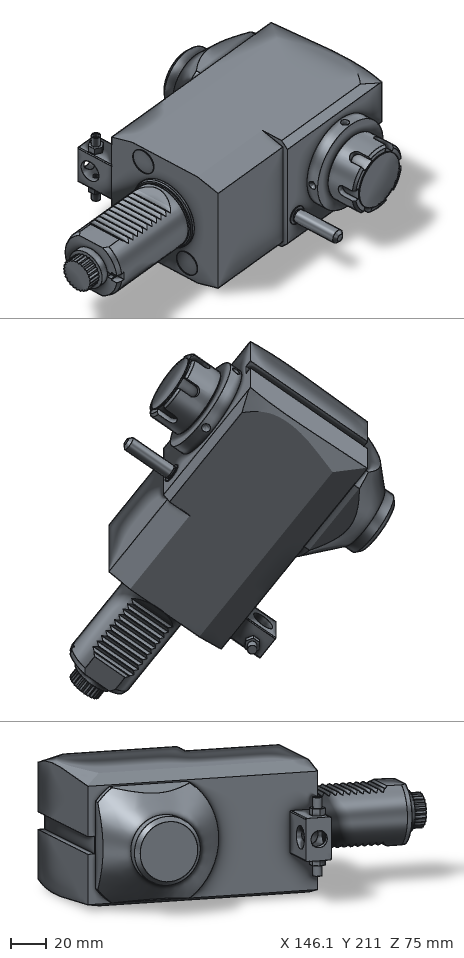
import cadquery as cq
import math


BODY_LENGTH = 136.0
BODY_HEIGHT = 75.0
BODY_HALF = BODY_HEIGHT / 2
BODY_LEFT = -39.0
LOWER_RIGHT = 39.0
UPPER_RIGHT = 42.3
STEP_Y = 55.3
SIDE_BEVEL_WIDTH = 15.0
SIDE_BEVEL_DROP = SIDE_BEVEL_WIDTH * math.tan(math.radians(15))
UPPER_BEVEL = 4.2
CROWN_SLOPE = math.tan(math.radians(14))
CROWN_EDGE = [(-46, 33.4), (-38.5, 33.6), (-23.75, 34.5), (1.8, 36.4),
              (13.4, 36.75), (29.85, 35.8), (37.8, 34.2), (46, 31.6)]
REAR_SLOT_WIDTH = 10.0
REAR_SLOT_DEPTH = 4.0
PLUG_RADIUS = 7.6
PLUG_DEPTH = 0.5
PLUG_X = 16.0
PLUG_Z = 27.7

SPINDLE_Y = 100.0
LEFT_END = -72.0
OVERALL_WIDTH = 146.14

COVER_RADIUS = 40.0
COVER_PLATE = 3.9
COVER_HUB_RADIUS = 19.5
COVER_HUB_CHAMFER = 2.5
COVER_FLAT_Z = 32.6
COVER_REAR_FLAT = 31.5
COVER_FLAT_ANGLE = 15.0

FLANGE_RADIUS = 28.0
FLANGE_END = 50.1
FLANGE_HOLE_RADIUS = 2.5
FLANGE_HOLE_DEPTH = 4.0
NECK_RADIUS = 16.5
NUT_START = 51.2
NUT_RADIUS = 21.0
NUT_END = 70.7
NUT_REAR_CHAMFER = 0.6
NUT_FRONT_CHAMFER = 1.4
NOSE_RADIUS = 17.0
NOSE_END = 71.4
NUT_SLOTS = 6
NUT_SLOT_WIDTH = 7.0
NUT_SLOT_START = 59.2
NUT_SLOT_FLOOR = 17.3

PIN_Y = 63.2
PIN_Z = -17.5
PIN_RADIUS = 4.1
PIN_END = LEFT_END + OVERALL_WIDTH
PIN_CHAMFER = 1.9
PIN_SEAT_RADIUS = 5.6
PIN_SEAT_LENGTH = 0.6
PIN_NECK_RADIUS = 3.9
PIN_NECK_LENGTH = 1.5

SHANK_RADIUS = 20.0
SHANK_LENGTH = 63.0
SHANK_CHAMFER_LENGTH = 3.0
SHANK_CHAMFER_DEPTH = 1.0
COLLAR_RADIUS = 21.6
COLLAR_LENGTH = 2.2
COLLAR_CHAMFER = 0.8
RELIEF_RADIUS = 19.8
RELIEF_END = 3.4
BOSS_RADIUS = 12.0
BOSS_LENGTH = 4.5
SPLINE_END = 75.0
SPLINE_TEETH = 24
SPLINE_TIP_RADIUS = 10.0
SPLINE_ROOT_RADIUS = 9.2
TOOTH_PITCH = 4.0
TOOTH_COUNT = 10
TOOTH_ROOT_Z = 14.0
TOOTH_TIP_Z = 15.8
TOOTH_RISE = 1.4
TOOTH_LAND = 0.5
FIRST_ROOT = 11.8
FLAT_Z = 17.0
FLAT_START = 51.2
KEY_WIDTH = 5.0
KEY_DEPTH = 5.0
KEY_STEP_WIDTH = 3.4
KEY_STEP_DEPTH = 3.0
KEY_STEP_RADIUS = 14.8

BLOCK_LEFT = -64.8
BLOCK_FRONT = 1.2
BLOCK_DEPTH = 15.2
BLOCK_HEIGHT = 24.4
BLOCK_CHAMFER = 0.6
BORE_X = -55.9
BORE_RADIUS = 6.5
SIDE_PORT_RADIUS = 4.8
SIDE_PORT_Y = 8.5
FEED_RADIUS = 1.6
FEED_DEPTH = 5.0
NOZZLE_Y = 6.3
NOZZLE_HEX = 7.8
NOZZLE_HEX_HEIGHT = 3.9
NOZZLE_RADIUS = 2.65
NOZZLE_TOP = 22.2
NOZZLE_HOLE_RADIUS = 1.7
NOZZLE_TIP_WALL = 1.0

OVERLAP = 1.0


def cylinder(radius, length, start, direction):
    """A cylinder from a start point along a direction."""
    return cq.Workplane(obj=cq.Solid.makeCylinder(radius, length, cq.Vector(*start), cq.Vector(*direction)))


def box_between(low, high):
    """A box given by two opposite corners."""
    size = [b - a for a, b in zip(low, high)]
    return cq.Workplane("XY").box(*size, centered=False).translate(low)


def turned_about_spindle(outline):
    """Revolve an (x, radius) outline about the spindle axis."""
    profile = cq.Workplane("XY").polyline(outline).close()
    return profile.revolve(360, (0, 0, 0), (1, 0, 0)).translate((0, SPINDLE_Y, 0))


def both_sides(shape):
    """A shape together with its mirror image below the plane Z = 0."""
    return shape.union(shape.mirror("XY"))


def body_length(right, bevel_width, bevel_drop, start, end):
    """A stretch of the body: a bar along Y, bevelled at its four long edges."""
    bevel_z = BODY_HALF - SIDE_BEVEL_DROP
    right_z = BODY_HALF - bevel_drop
    outline = [
        (BODY_LEFT, -bevel_z),
        (BODY_LEFT + SIDE_BEVEL_WIDTH, -BODY_HALF),
        (right - bevel_width, -BODY_HALF),
        (right, -right_z),
        (right, right_z),
        (right - bevel_width, BODY_HALF),
        (BODY_LEFT + SIDE_BEVEL_WIDTH, BODY_HALF),
        (BODY_LEFT, bevel_z),
    ]
    section = cq.Workplane("XZ", origin=(0, start, 0)).polyline(outline).close()
    return section.extrude(start - end)


def crown_cutter():
    """The stock above the curved crown that slopes down to the rear face."""
    above = BODY_HEIGHT
    first_x = CROWN_EDGE[0][0]
    last_x = CROWN_EDGE[-1][0]
    edge = cq.Workplane("XZ", origin=(0, BODY_LENGTH, 0)).spline(CROWN_EDGE)
    profile = edge.lineTo(last_x, above).lineTo(first_x, above).close().wire().val()
    run = BODY_HALF
    path = cq.Vector(0, -run, run * CROWN_SLOPE)
    return cq.Workplane(obj=cq.Solid.extrudeLinear(profile, [], path))


def make_body():
    lower = body_length(LOWER_RIGHT, SIDE_BEVEL_WIDTH, SIDE_BEVEL_DROP, 0, STEP_Y + OVERLAP)
    upper = body_length(UPPER_RIGHT, UPPER_BEVEL, UPPER_BEVEL, STEP_Y, BODY_LENGTH)
    body = lower.union(upper).cut(both_sides(crown_cutter()))
    half_slot = REAR_SLOT_WIDTH / 2
    body = body.cut(box_between(
        (BODY_LEFT, BODY_LENGTH - REAR_SLOT_DEPTH, -half_slot),
        (UPPER_RIGHT, BODY_LENGTH, half_slot),
    ))
    for side in (-1, 1):
        body = body.cut(cylinder(PLUG_RADIUS, PLUG_DEPTH, (side * PLUG_X, 0, -side * PLUG_Z), (0, 1, 0)))
    return body


def make_cover():
    """Conical cover on the left, flattened above, below and at the rear."""
    plate_x = BODY_LEFT - COVER_PLATE
    hub_x = plate_x - (COVER_RADIUS - COVER_HUB_RADIUS)
    cover = turned_about_spindle([
        (BODY_LEFT + OVERLAP, 0),
        (BODY_LEFT + OVERLAP, COVER_RADIUS),
        (plate_x, COVER_RADIUS),
        (hub_x, COVER_HUB_RADIUS),
        (LEFT_END + COVER_HUB_CHAMFER, COVER_HUB_RADIUS),
        (LEFT_END, COVER_HUB_RADIUS - COVER_HUB_CHAMFER),
        (LEFT_END, 0),
    ])
    end_z = COVER_FLAT_Z - (plate_x - LEFT_END) * math.tan(math.radians(COVER_FLAT_ANGLE))
    envelope = cq.Workplane("XZ", origin=(0, SPINDLE_Y + COVER_REAR_FLAT, 0)).polyline([
        (BODY_LEFT + OVERLAP, COVER_FLAT_Z),
        (plate_x, COVER_FLAT_Z),
        (LEFT_END, end_z),
        (LEFT_END, -end_z),
        (plate_x, -COVER_FLAT_Z),
        (BODY_LEFT + OVERLAP, -COVER_FLAT_Z),
    ]).close().extrude(COVER_REAR_FLAT + COVER_RADIUS)
    return cover.intersect(envelope)


def nut_slot(angle):
    """Wrench slot in the collet nut, open at the front with a round end."""
    radius = NUT_SLOT_WIDTH / 2
    round_x = NUT_SLOT_START + radius
    height = NUT_RADIUS - NUT_SLOT_FLOOR + OVERLAP
    outline = (
        cq.Workplane("XY", origin=(0, 0, NUT_SLOT_FLOOR))
        .moveTo(NUT_END, -radius)
        .lineTo(round_x, -radius)
        .threePointArc((NUT_SLOT_START, 0), (round_x, radius))
        .lineTo(NUT_END, radius)
        .close()
    )
    slot = outline.extrude(height).rotate((0, 0, 0), (1, 0, 0), angle)
    return slot.translate((0, SPINDLE_Y, 0))


def make_spindle_nose():
    """Flange, neck and collet nut on the right."""
    nose = turned_about_spindle([
        (UPPER_RIGHT - OVERLAP, 0),
        (UPPER_RIGHT - OVERLAP, FLANGE_RADIUS),
        (FLANGE_END, FLANGE_RADIUS),
        (FLANGE_END, NECK_RADIUS),
        (NUT_START, NECK_RADIUS),
        (NUT_START, NUT_RADIUS - NUT_REAR_CHAMFER),
        (NUT_START + NUT_REAR_CHAMFER, NUT_RADIUS),
        (NUT_END - NUT_FRONT_CHAMFER, NUT_RADIUS),
        (NUT_END, NUT_RADIUS - NUT_FRONT_CHAMFER),
        (NUT_END, NOSE_RADIUS),
        (NOSE_END, NOSE_RADIUS),
        (NOSE_END, 0),
    ])
    for index in range(NUT_SLOTS):
        nose = nose.cut(nut_slot(90 + index * 360 / NUT_SLOTS))
    hole_x = (UPPER_RIGHT + FLANGE_END) / 2
    for y_step, z_step in ((1, 0), (0, 1), (-1, 0), (0, -1)):
        rim = cq.Vector(hole_x, SPINDLE_Y + y_step * FLANGE_RADIUS, z_step * FLANGE_RADIUS)
        inward = cq.Vector(0, -y_step, -z_step)
        nose = nose.cut(cq.Workplane(obj=cq.Solid.makeCone(
            FLANGE_HOLE_RADIUS, 0, FLANGE_HOLE_DEPTH, rim, inward)))
    return nose


def make_pin():
    """Locating pin beside the collet nut."""
    neck_end = UPPER_RIGHT + PIN_NECK_LENGTH
    outline = [
        (UPPER_RIGHT - OVERLAP, 0),
        (UPPER_RIGHT - OVERLAP, PIN_SEAT_RADIUS),
        (UPPER_RIGHT + PIN_SEAT_LENGTH, PIN_SEAT_RADIUS),
        (UPPER_RIGHT + PIN_SEAT_LENGTH, PIN_NECK_RADIUS),
        (neck_end, PIN_NECK_RADIUS),
        (neck_end, PIN_RADIUS),
        (PIN_END - PIN_CHAMFER, PIN_RADIUS),
        (PIN_END, PIN_RADIUS - PIN_CHAMFER),
        (PIN_END, 0),
    ]
    pin = cq.Workplane("XY").polyline(outline).close().revolve(360, (0, 0, 0), (1, 0, 0))
    return pin.translate((0, PIN_Y, PIN_Z))


def shank_blank():
    """Turned shank with its collar, relief and end boss."""
    boss_end = SHANK_LENGTH + BOSS_LENGTH
    outline = [
        (0, OVERLAP),
        (COLLAR_RADIUS, OVERLAP),
        (COLLAR_RADIUS, COLLAR_CHAMFER - COLLAR_LENGTH),
        (COLLAR_RADIUS - COLLAR_CHAMFER, -COLLAR_LENGTH),
        (RELIEF_RADIUS, -COLLAR_LENGTH),
        (RELIEF_RADIUS, -RELIEF_END),
        (SHANK_RADIUS, -RELIEF_END),
        (SHANK_RADIUS, SHANK_CHAMFER_LENGTH - SHANK_LENGTH),
        (SHANK_RADIUS - SHANK_CHAMFER_DEPTH, -SHANK_LENGTH),
        (BOSS_RADIUS, -SHANK_LENGTH),
        (BOSS_RADIUS, -boss_end),
        (0, -boss_end),
    ]
    return cq.Workplane("XY").polyline(outline).close().revolve(360, (0, 0, 0), (0, 1, 0))


def rack_cutter():
    """The stock above the clamping rack and the end flat on top of the shank."""
    clear_z = SHANK_RADIUS + OVERLAP
    first_tip = FIRST_ROOT - TOOTH_PITCH + TOOTH_RISE + TOOTH_LAND
    outline = [(-(first_tip - (clear_z - TOOTH_TIP_Z)), clear_z), (-first_tip, TOOTH_TIP_Z)]
    for index in range(TOOTH_COUNT):
        root = FIRST_ROOT + index * TOOTH_PITCH
        outline += [
            (-root, TOOTH_ROOT_Z),
            (-(root + TOOTH_RISE), TOOTH_TIP_Z),
            (-(root + TOOTH_RISE + TOOTH_LAND), TOOTH_TIP_Z),
        ]
    outline += [(-FLAT_START, FLAT_Z), (-SHANK_LENGTH, FLAT_Z), (-SHANK_LENGTH, clear_z)]
    return cq.Workplane("YZ").polyline(outline).close().extrude(SHANK_RADIUS, both=True)


def key_slot():
    """Stepped radial slot in the end of the shank."""
    half_width = KEY_WIDTH / 2
    half_step = KEY_STEP_WIDTH / 2
    outer = box_between(
        (KEY_STEP_RADIUS, -SHANK_LENGTH, -half_width),
        (SHANK_RADIUS, KEY_DEPTH - SHANK_LENGTH, half_width),
    )
    inner = box_between(
        (BOSS_RADIUS, -SHANK_LENGTH, -half_step),
        (KEY_STEP_RADIUS, KEY_STEP_DEPTH - SHANK_LENGTH, half_step),
    )
    return outer.union(inner)


def make_spline():
    """Splined drive end with pointed teeth."""
    points = []
    for index in range(2 * SPLINE_TEETH):
        angle = math.pi * index / SPLINE_TEETH
        radius = SPLINE_ROOT_RADIUS if index % 2 else SPLINE_TIP_RADIUS
        points.append((radius * math.cos(angle), radius * math.sin(angle)))
    start = SHANK_LENGTH + BOSS_LENGTH - OVERLAP
    section = cq.Workplane("XZ", origin=(0, -start, 0)).polyline(points).close()
    return section.extrude(SPLINE_END - start)


def make_shank():
    shank = shank_blank().cut(both_sides(rack_cutter())).cut(key_slot())
    return shank.union(make_spline())


def make_nozzle():
    """Hexagon nozzle on top of the coolant block."""
    seat_z = BLOCK_HEIGHT / 2
    base = cq.Workplane("XY", origin=(BORE_X, NOZZLE_Y, seat_z - OVERLAP))
    across_corners = NOZZLE_HEX / math.cos(math.pi / 6)
    hexagon = base.polygon(6, across_corners).extrude(NOZZLE_HEX_HEIGHT + OVERLAP)
    return hexagon.union(base.circle(NOZZLE_RADIUS).extrude(NOZZLE_TOP - seat_z + OVERLAP))


def make_coolant_block():
    """Cross-bored block on the left side with a nozzle above and below."""
    half_height = BLOCK_HEIGHT / 2
    block = box_between(
        (BLOCK_LEFT, BLOCK_FRONT, -half_height),
        (BODY_LEFT, BLOCK_FRONT + BLOCK_DEPTH, half_height),
    ).edges("|X").chamfer(BLOCK_CHAMFER)
    block = block.union(both_sides(make_nozzle()))
    bore = cylinder(BORE_RADIUS, BLOCK_DEPTH, (BORE_X, BLOCK_FRONT, 0), (0, 1, 0))
    side_port = cylinder(SIDE_PORT_RADIUS, BODY_LEFT - BLOCK_LEFT, (BLOCK_LEFT, SIDE_PORT_Y, 0), (1, 0, 0))
    nozzle_hole = cylinder(
        NOZZLE_HOLE_RADIUS, 2 * NOZZLE_TOP - NOZZLE_TIP_WALL, (BORE_X, NOZZLE_Y, NOZZLE_TOP), (0, 0, -1))
    return block.cut(bore).cut(side_port).cut(nozzle_hole)


def feed_hole():
    """Coolant feed in the body wall, at the end of the side port."""
    return cylinder(FEED_RADIUS, FEED_DEPTH, (BODY_LEFT, SIDE_PORT_Y, 0), (1, 0, 0))


result = (
    make_body()
    .union(make_cover())
    .union(make_spindle_nose())
    .union(make_pin())
    .union(make_shank())
    .union(make_coolant_block())
    .cut(feed_hole())
)